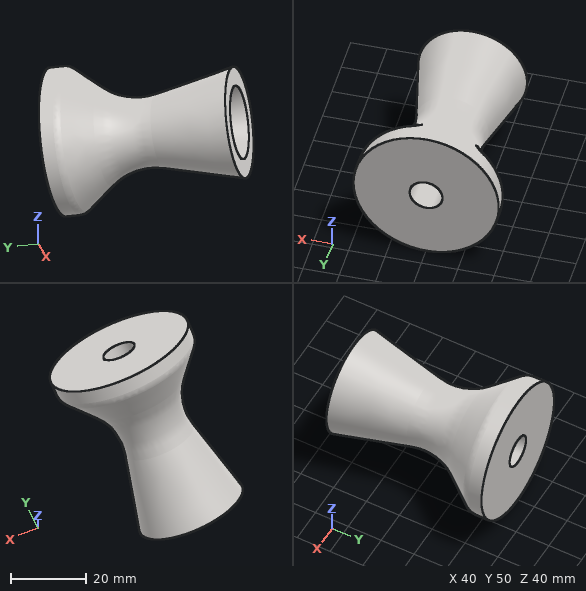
import cadquery as cq

length = 50.0
head_radius = 20.0
foot_radius = 15.0

neck_y = 30.0
neck_radius = 8.1
shoulder_y = 45.0
neck_fillet = 17.5
shoulder_fillet = 3.0

bore_mouth_radius = 9.85
hole_radius = 4.5
wall_thickness = 5.0
bore_blend = neck_fillet + wall_thickness
foot_slope = (foot_radius - neck_radius) / neck_y
bore_corner_y = (bore_mouth_radius - hole_radius) / foot_slope


def revolve_about_y(points):
    """Revolve a closed (radius, Y) outline around the Y axis."""
    return cq.Workplane("XY").polyline(points).close().revolve(360, (0, 0, 0), (0, 1, 0))


def round_rim(solid, y, radius):
    """Round the circular edge at the given Y."""
    margin = 0.05
    reach = head_radius + margin
    rim = cq.selectors.BoxSelector((-reach, y - margin, -reach), (reach, y + margin, reach), True)
    return solid.edges("%CIRCLE").edges(rim).fillet(radius)


body = revolve_about_y([
    (0, 0),
    (foot_radius, 0),
    (neck_radius, neck_y),
    (head_radius, shoulder_y),
    (head_radius, length),
    (0, length),
])
body = round_rim(body, neck_y, neck_fillet)
body = round_rim(body, shoulder_y, shoulder_fillet)

cavity = revolve_about_y([
    (0, 0),
    (bore_mouth_radius, 0),
    (hole_radius, bore_corner_y),
    (hole_radius, length),
    (0, length),
])
cavity = round_rim(cavity, bore_corner_y, bore_blend)

result = body.cut(cavity)